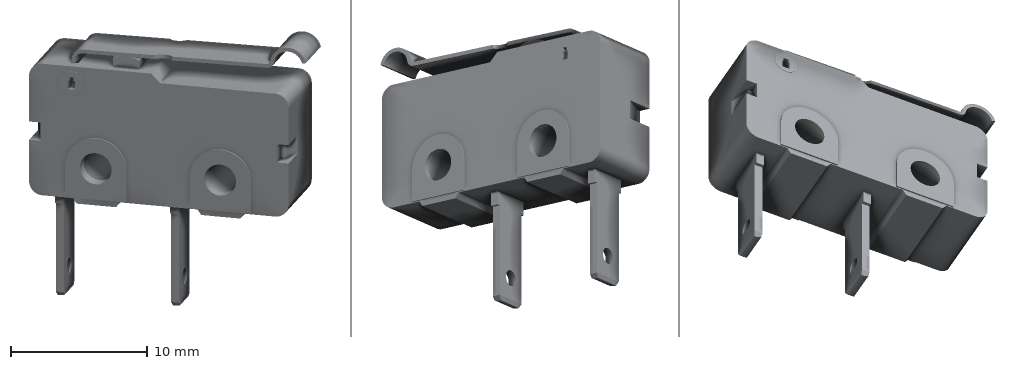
import cadquery as cq
import math


body_length = 19.8
body_depth = 6.16
body_height = 10.18
low_height = 9.5
step_start = 9.33
corner_radius = 1.01
front_y = -body_depth / 2

mount_x = (5.13, 14.63)
mount_z = 2.47
mount_diameter = 2.4
relief_diameter = 2.5
lip_depth = 1.03
pad_radius = 2.35
pad_thickness = 0.116
pad_bottom = 0.06
pad_y = front_y - pad_thickness
foot_height = 0.4
foot_top_width = 3.55
foot_bottom_width = 3.0

catch_bottom = 4.2
catch_height = 1.41
catch_depth = 0.87
catch_floor = 0.3
catch_straight = 0.87
catch_reach = 2.43

terminal_x = (1.55, 10.35)
terminal_thickness = 0.63
terminal_bottom = -8.28
shoulder_width = 3.23
shoulder_bottom = -1.01
blade_width = 2.72
tip_chamfer_length = 0.34
tip_chamfer_side = 0.23
tip_chamfer_face = 0.08
terminal_hole_diameter = 1.2
terminal_hole_z = terminal_bottom + 1.98

strip_thickness = 0.3
lever_front = -2.22
lever_width = 4.0
leg_x = 3.0
leg_bottom = 8.55
leg_bend_radius = 0.7
strip_slope = math.radians(0.75)
strip_top = 11.25
hook_radius = 1.25
hook_x = 19.53
hook_top = 12.83
hook_end_angle = math.radians(14)
hook_bend_radius = 0.38
notch_x = 10.0
notch_depth = 0.34
notch_width = 1.3

plunger_x = 6.15
plunger_width = 2.03
plunger_side_top = 10.8
plunger_top = 11.02

anchor_x = 3.23
anchor_z = 8.9
anchor_diameter = 1.8
anchor_boss = 0.032
window_width = 0.55
window_bottom = 8.4
window_top = 9.04
window_neck_width = 0.38
window_neck_top = 9.33
slot_clearance = 0.06


def block(x_range, y_range, z_range):
    """Box given by its limits along the three axes."""
    (x0, x1), (y0, y1), (z0, z1) = x_range, y_range, z_range
    return cq.Workplane("XY").box(x1 - x0, y1 - y0, z1 - z0, centered=False).translate((x0, y0, z0))


def through_y(outline, y_start, y_end):
    """Extrude an XZ outline from y_start to y_end."""
    return outline.extrude(y_start - y_end).translate((0, y_start, 0))


def polar(center, radius, angle):
    """Point at a distance and angle from a center."""
    return (center[0] + radius * math.cos(angle), center[1] + radius * math.sin(angle))


def make_housing():
    step_end = step_start + body_height - low_height
    outline = cq.Workplane("XZ").polyline([
        (0, 0),
        (body_length, 0),
        (body_length, low_height),
        (step_end, low_height),
        (step_start, body_height),
        (0, body_height),
    ]).close()
    housing = through_y(outline, front_y, -front_y)
    return housing.edges("|Y and (<X or >X)").fillet(corner_radius)


def make_mount(x):
    """Raised pads on both faces and the foot below one mounting hole."""
    pad = (
        cq.Workplane("XZ")
        .moveTo(x - pad_radius, pad_bottom)
        .lineTo(x + pad_radius, pad_bottom)
        .lineTo(x + pad_radius, mount_z)
        .threePointArc((x, mount_z + pad_radius), (x - pad_radius, mount_z))
        .close()
    )
    foot = cq.Workplane("XZ").polyline([
        (x - foot_top_width / 2, 0),
        (x - foot_bottom_width / 2, -foot_height),
        (x + foot_bottom_width / 2, -foot_height),
        (x + foot_top_width / 2, 0),
    ]).close()
    return through_y(pad, pad_y, -pad_y).union(through_y(foot, front_y, -front_y))


def make_mount_hole(x):
    circle = cq.Workplane("XZ").center(x, mount_z).circle(mount_diameter / 2)
    return through_y(circle, pad_y, -pad_y)


def make_hole_relief(x):
    """Slightly wider bore behind the front lip of a mounting hole."""
    circle = cq.Workplane("XZ").center(x, mount_z).circle(relief_diameter / 2)
    return through_y(circle, pad_y + lip_depth, -pad_y)


def make_left_catch():
    """Notch in the left end, open to the front face; its floor slopes out to the end face."""
    return (
        cq.Workplane("XY")
        .workplane(offset=catch_bottom)
        .polyline([
            (0, front_y),
            (catch_depth, front_y),
            (catch_depth, front_y + catch_straight),
            (catch_depth - catch_floor, front_y + catch_straight),
            (0, front_y + catch_reach),
        ])
        .close()
        .extrude(catch_height)
    )


def make_terminal(x):
    x_range = (x, x + terminal_thickness)
    blade = block(x_range, (-blade_width / 2, blade_width / 2), (terminal_bottom, 0))
    blade = blade.faces("<Z").edges("|X").chamfer(tip_chamfer_length, tip_chamfer_side)
    blade = blade.faces("<Z").edges("|Y").chamfer(tip_chamfer_length, tip_chamfer_face)
    shoulder = block(x_range, (-shoulder_width / 2, shoulder_width / 2), (shoulder_bottom, 0))
    hole = (
        cq.Workplane("YZ")
        .center(0, terminal_hole_z)
        .circle(terminal_hole_diameter / 2)
        .extrude(terminal_thickness)
        .translate((x, 0, 0))
    )
    return blade.union(shoulder).cut(hole)


def make_lever():
    """Bent strip: leg, bend, sloping arm, reverse bend and hook."""
    half = strip_thickness / 2
    up = math.pi / 2 + strip_slope
    leg_bend = (leg_x + half + leg_bend_radius, strip_top - half - leg_bend_radius)
    hook = (hook_x, hook_top - hook_radius - half)

    dx, dz = hook[0] - leg_bend[0], hook[1] - leg_bend[1]
    hook_along = dx * math.cos(strip_slope) + dz * math.sin(strip_slope)
    hook_across = dz * math.cos(strip_slope) - dx * math.sin(strip_slope)
    across = leg_bend_radius + hook_bend_radius
    center_gap = hook_radius + hook_bend_radius
    along = hook_along - math.sqrt(center_gap**2 - (across - hook_across)**2)
    hook_bend = polar(polar(leg_bend, along, strip_slope), across, up)
    to_hook = math.atan2(hook[1] - hook_bend[1], hook[0] - hook_bend[0])

    def arc(center, radius, start, end):
        return polar(center, radius, (start + end) / 2), polar(center, radius, end)

    from_bend = to_hook + math.pi
    down = up - math.pi
    profile = (
        cq.Workplane("XZ")
        .moveTo(leg_x, leg_bottom)
        .lineTo(leg_x, leg_bend[1])
        .threePointArc(*arc(leg_bend, leg_bend_radius + half, math.pi, up))
        .lineTo(*polar(hook_bend, hook_bend_radius - half, down))
        .threePointArc(*arc(hook_bend, hook_bend_radius - half, down, to_hook))
        .threePointArc(*arc(hook, hook_radius + half, from_bend, hook_end_angle))
        .lineTo(*polar(hook, hook_radius - half, hook_end_angle))
        .threePointArc(*arc(hook, hook_radius - half, hook_end_angle, from_bend))
        .threePointArc(*arc(hook_bend, hook_bend_radius + half, to_hook, down))
        .lineTo(*polar(leg_bend, leg_bend_radius - half, up))
        .threePointArc(*arc(leg_bend, leg_bend_radius - half, up, math.pi))
        .lineTo(leg_x + strip_thickness, leg_bottom)
        .close()
    )
    lever_back = lever_front + lever_width
    lever = through_y(profile, lever_front, lever_back)

    notch_radius = (notch_width**2 / 4 + notch_depth**2) / (2 * notch_depth)
    outset = notch_radius - notch_depth
    notches = (
        cq.Workplane("XY")
        .workplane(offset=body_height)
        .pushPoints([(notch_x, lever_front - outset), (notch_x, lever_back + outset)])
        .circle(notch_radius)
        .extrude(hook_top - body_height)
    )
    return lever.cut(notches)


def make_plunger():
    right = plunger_x + plunger_width
    profile = (
        cq.Workplane("XZ")
        .moveTo(plunger_x, low_height)
        .lineTo(plunger_x, plunger_side_top)
        .threePointArc((plunger_x + plunger_width / 2, plunger_top), (right, plunger_side_top))
        .lineTo(right, low_height)
        .close()
    )
    return through_y(profile, lever_front, lever_front + lever_width)


def make_anchor_boss():
    disc = cq.Workplane("XZ").center(anchor_x, anchor_z).circle(anchor_diameter / 2)
    return through_y(disc, front_y - anchor_boss, 0)


def make_anchor_opening():
    """Stepped window through the housing and the slot that holds the leg."""
    def opening(width, y_range, top):
        return block((anchor_x - width / 2, anchor_x + width / 2), y_range, (window_bottom, top))

    through = (front_y - anchor_boss, -front_y)
    slot_y = (lever_front, lever_front + lever_width + slot_clearance)
    window = opening(window_width, through, window_top)
    neck = opening(window_neck_width, through, window_neck_top)
    slot = opening(window_width, slot_y, body_height)
    return window.union(neck).union(slot)


left_catch = make_left_catch()
right_catch = left_catch.mirror("YZ").translate((body_length, 0, 0))

result = make_housing()
for x in mount_x:
    result = result.union(make_mount(x)).cut(make_mount_hole(x))
result = result.cut(make_hole_relief(mount_x[0]))
result = result.union(make_anchor_boss())
result = result.cut(left_catch).cut(right_catch).cut(make_anchor_opening())
for x in terminal_x:
    result = result.union(make_terminal(x))
result = result.union(make_plunger()).union(make_lever())